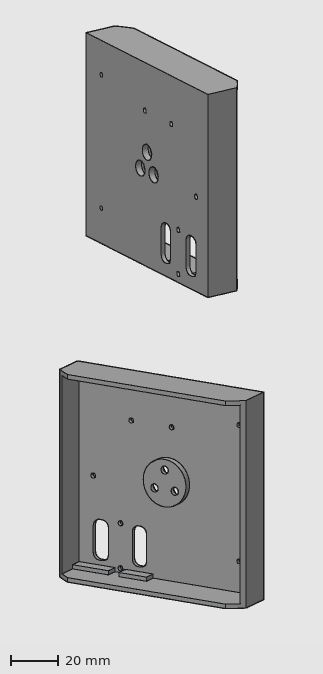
import cadquery as cq
import math

SIDE = 92.0
DEPTH = 20.0
WALL = 2.0
HALF = SIDE / 2

BEVEL_X = 7.0
BEVEL_Y = 5.15
BEVEL_RADIUS = 59.8

TRIANGLE_SIDE = 10.0
BORE_DIAMETER = 3.5
COUNTERBORE_DIAMETER = 7.0
COUNTERBORE_DEPTH = 3.0
BOSS_DIAMETER = TRIANGLE_SIDE + COUNTERBORE_DIAMETER + 2 * WALL
BOSS_DEPTH = COUNTERBORE_DEPTH + WALL

SCREW_DIAMETER = 2.2
SCREW_SPACING = 20.0
UPPER_PAIR_X = 8.4
UPPER_PAIR_Z = 24.2
SLOT_PAIR_X = 23.6
SLOT_PAIR_Z = -32.1
SINGLE_X = 37.1
SINGLE_Z = -3.0

SLOTS = [(14.3, 7.0), (33.3, 7.45)]
SLOT_CENTRE_Z = -31.0
SLOT_HEIGHT = 18.0
SLOT_CORNER_RADIUS = 3.0

PILOT_DIAMETER = 2.0
PILOT_X = -35.0
PILOT_Z = 30.2
PILOT_SKIN = 0.41

LEDGE_HEIGHT = 1.8
LEDGE_REAR_Y = 7.5
LEDGE_GAP = 5.15
LEFT_LEDGE_LENGTH = 13.6


def front_cylinders(points, diameter, start, end):
    """Cylinders along Y at the (X, Z) points, running from Y = start to Y = end."""
    plane = cq.Workplane("XZ", origin=(0, start, 0))
    return plane.pushPoints(points).circle(diameter / 2).extrude(start - end)


def make_tray():
    """Bevelled block hollowed from the rear."""
    shoulder = DEPTH - BEVEL_Y
    block = (
        cq.Workplane("XY", origin=(0, 0, -HALF))
        .moveTo(-HALF, 0)
        .lineTo(HALF, 0)
        .lineTo(HALF, shoulder)
        .radiusArc((HALF - BEVEL_X, DEPTH), -BEVEL_RADIUS)
        .lineTo(-HALF + BEVEL_X, DEPTH)
        .radiusArc((-HALF, shoulder), -BEVEL_RADIUS)
        .close()
        .extrude(SIDE)
    )
    inner = SIDE - 2 * WALL
    cavity = cq.Workplane("XY").box(inner, DEPTH, inner).translate((0, WALL + DEPTH / 2, 0))
    return block.cut(cavity)


def make_slot(centre_x, width):
    """Rounded rectangular opening through the front wall."""
    return (
        cq.Workplane("XY")
        .box(width, WALL, SLOT_HEIGHT)
        .edges("|Y")
        .fillet(SLOT_CORNER_RADIUS)
        .translate((centre_x, WALL / 2, SLOT_CENTRE_Z))
    )


def make_ledge(start_x, end_x):
    """Flat ledge rising from the bottom wall into the cavity, from the front wall rearward."""
    height = WALL + LEDGE_HEIGHT
    ledge = cq.Workplane("XY").box(end_x - start_x, LEDGE_REAR_Y, height, centered=False)
    return ledge.translate((start_x, 0, -HALF))


circumradius = TRIANGLE_SIDE / math.sqrt(3)
triangle_points = [
    (circumradius * math.cos(math.radians(angle)), circumradius * math.sin(math.radians(angle)))
    for angle in (90, 210, 330)
]
screw_points = [
    (UPPER_PAIR_X - SCREW_SPACING / 2, UPPER_PAIR_Z),
    (UPPER_PAIR_X + SCREW_SPACING / 2, UPPER_PAIR_Z),
    (SLOT_PAIR_X, SLOT_PAIR_Z - SCREW_SPACING / 2),
    (SLOT_PAIR_X, SLOT_PAIR_Z + SCREW_SPACING / 2),
    (SINGLE_X, SINGLE_Z),
]
pilot_points = [(PILOT_X, -PILOT_Z), (PILOT_X, PILOT_Z)]

left_ledge_end = SLOT_PAIR_X - LEDGE_GAP / 2
right_ledge_start = SLOT_PAIR_X + LEDGE_GAP / 2
left_ledge = make_ledge(left_ledge_end - LEFT_LEDGE_LENGTH, left_ledge_end)
right_ledge = make_ledge(right_ledge_start, HALF - WALL)

result = make_tray().union(left_ledge).union(right_ledge)
for slot_x, slot_width in SLOTS:
    result = result.cut(make_slot(slot_x, slot_width))
result = (
    result.union(front_cylinders([(0, 0)], BOSS_DIAMETER, 0, BOSS_DEPTH))
    .cut(front_cylinders(triangle_points, BORE_DIAMETER, 0, BOSS_DEPTH))
    .cut(front_cylinders(triangle_points, COUNTERBORE_DIAMETER, 0, COUNTERBORE_DEPTH))
    .cut(front_cylinders(screw_points, SCREW_DIAMETER, 0, WALL))
    .cut(front_cylinders(pilot_points, PILOT_DIAMETER, PILOT_SKIN, WALL))
)